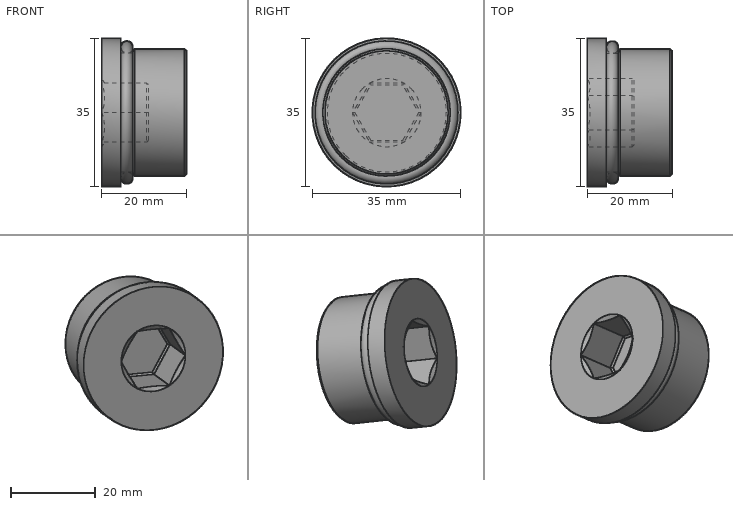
import cadquery as cq
import math

flange_diameter = 35.0
flange_thickness = 4.5
overall_length = 20.0
shank_diameter = 30.0
tip_chamfer_length = 0.55
tip_chamfer_depth = 0.5

neck_diameter = 28.0
shoulder_end = 7.77
shoulder_angle = 60.0
shoulder_height = (shank_diameter - neck_diameter) / 2
neck_end = shoulder_end - shoulder_height / math.tan(math.radians(shoulder_angle))

ring_section_diameter = 2.85

socket_across_flats = 13.93
socket_across_corners = socket_across_flats / math.cos(math.pi / 6)
socket_depth = 11.0
floor_taper_inset = 0.45
floor_taper_length = 0.45
countersink_half_angle = 60.0


def make_turned_body():
    """Flange, seal neck and chamfered shank as one revolved profile."""
    flange_radius = flange_diameter / 2
    shank_radius = shank_diameter / 2
    neck_radius = neck_diameter / 2
    profile = [
        (0, 0),
        (0, flange_radius),
        (flange_thickness, flange_radius),
        (flange_thickness, neck_radius),
        (neck_end, neck_radius),
        (shoulder_end, shank_radius),
        (overall_length - tip_chamfer_length, shank_radius),
        (overall_length, shank_radius - tip_chamfer_depth),
        (overall_length, 0),
    ]
    return cq.Workplane("XY").polyline(profile).close().revolve(360, (0, 0, 0), (1, 0, 0))


def make_socket():
    """Hexagonal socket with a floor that narrows and a countersunk mouth."""
    taper_start = socket_depth - floor_taper_length
    floor_across_corners = (socket_across_flats - 2 * floor_taper_inset) / math.cos(math.pi / 6)
    walls = cq.Workplane("YZ").polygon(6, socket_across_corners).extrude(taper_start)
    floor_taper = (
        cq.Workplane("YZ", origin=(taper_start, 0, 0))
        .polygon(6, socket_across_corners)
        .workplane(offset=floor_taper_length)
        .polygon(6, floor_across_corners)
        .loft(ruled=True)
    )
    mouth_radius = socket_across_corners / 2
    cone_depth = mouth_radius / math.tan(math.radians(countersink_half_angle))
    countersink = (
        cq.Workplane("XY")
        .polyline([(0, 0), (0, mouth_radius), (cone_depth, 0)])
        .close()
        .revolve(360, (0, 0, 0), (1, 0, 0))
    )
    return walls.union(floor_taper).union(countersink)


def make_plug():
    return make_turned_body().cut(make_socket())


def make_sealing_ring():
    """Round-section ring that touches the flange and the neck."""
    section_radius = ring_section_diameter / 2
    centerline_radius = neck_diameter / 2 + section_radius
    return (
        cq.Workplane("XY")
        .center(flange_thickness + section_radius, centerline_radius)
        .circle(section_radius)
        .revolve(360, (0, -centerline_radius, 0), (1, -centerline_radius, 0))
    )


plug = make_plug()
sealing_ring = make_sealing_ring()
result = cq.Compound.makeCompound([plug.val(), sealing_ring.val()])